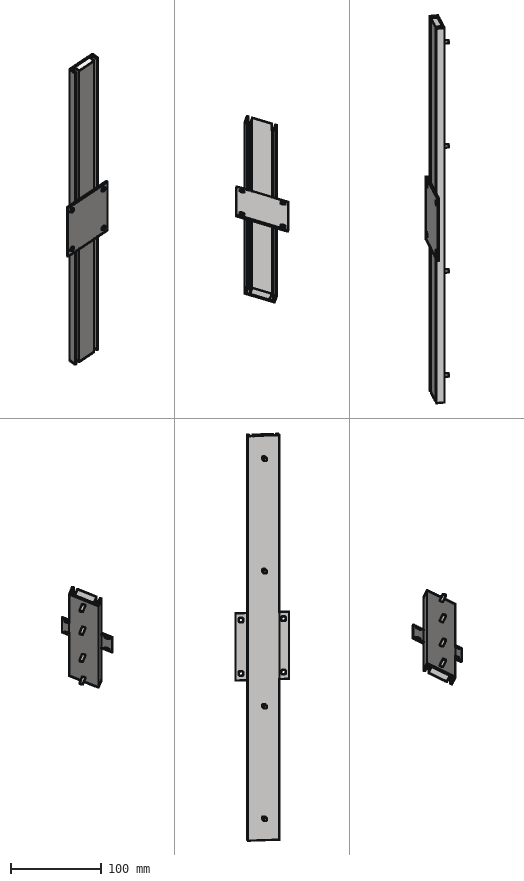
import cadquery as cq

LENGTH = 457.0
TOTAL_DEPTH = 19.0

PLATE_WIDTH = 60.5
PLATE_HEIGHT = 76.0
PLATE_THICKNESS = 2.0
PLATE_CENTER_Z = -11.0
PLATE_HOLE_DIAMETER = 5.5
PLATE_HOLE_SPACING_Y = 48.0
PLATE_HOLE_SPACING_Z = 60.5

CHANNEL_WIDTH = 35.0
CHANNEL_DEPTH = 9.0
CHANNEL_WALL = 1.5
CHANNEL_FLANGE = 2.0

BAR_WIDTH = 23.0

PIN_DIAMETER = 4.0
PIN_LENGTH = TOTAL_DEPTH - CHANNEL_DEPTH - PLATE_THICKNESS
OUTER_PIN_HEIGHT = 203.5
INNER_PIN_HEIGHT = 76.5

BAR_FRONT = CHANNEL_WALL
PLATE_FRONT = CHANNEL_DEPTH


def block(front, depth, width, height):
    """Box centred on Y and Z that runs from `front` towards +X."""
    return cq.Workplane("XY").box(depth, width, height, centered=(False, True, True)).translate((front, 0, 0))


def make_channel():
    outer = block(0, CHANNEL_DEPTH, CHANNEL_WIDTH, LENGTH)
    cavity = block(CHANNEL_WALL, CHANNEL_DEPTH - CHANNEL_WALL, CHANNEL_WIDTH - 2 * CHANNEL_FLANGE, LENGTH)
    return outer.cut(cavity)


def make_plate_with_bar():
    plate = block(PLATE_FRONT, PLATE_THICKNESS, PLATE_WIDTH, PLATE_HEIGHT)
    holes = (
        cq.Workplane("YZ", origin=(PLATE_FRONT, 0, 0))
        .rarray(PLATE_HOLE_SPACING_Y, PLATE_HOLE_SPACING_Z, 2, 2)
        .circle(PLATE_HOLE_DIAMETER / 2)
        .extrude(PLATE_THICKNESS)
    )
    bar = block(BAR_FRONT, PLATE_FRONT - BAR_FRONT, BAR_WIDTH, LENGTH)
    return plate.cut(holes).translate((0, 0, PLATE_CENTER_Z)).union(bar)


def make_pin(height):
    """Round pin whose base rests on the channel's front face."""
    return cq.Workplane("YZ", origin=(-PIN_LENGTH, 0, height)).circle(PIN_DIAMETER / 2).extrude(PIN_LENGTH)


channel = make_channel()
plate_with_bar = make_plate_with_bar()
pin_heights = [-OUTER_PIN_HEIGHT, -INNER_PIN_HEIGHT, INNER_PIN_HEIGHT, OUTER_PIN_HEIGHT]
pins = [make_pin(height).val() for height in pin_heights]

result = cq.Compound.makeCompound([channel.val(), plate_with_bar.val(), *pins])